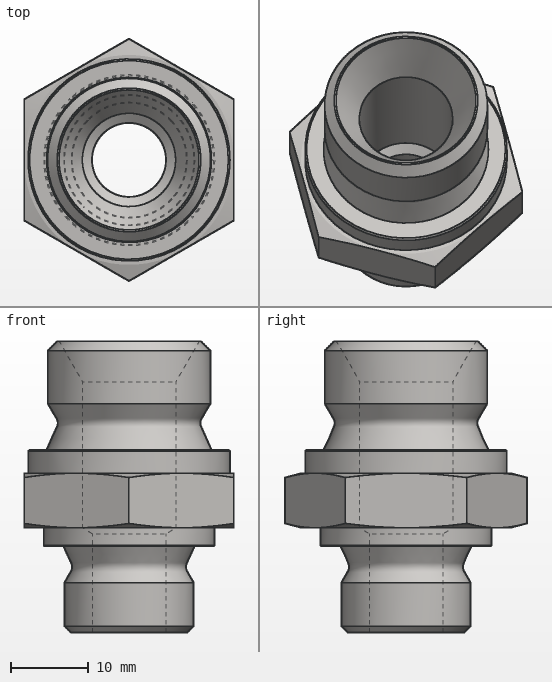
import cadquery as cq
import math

hex_width = 27.0
hex_bottom = 13.5
hex_top = 20.5
hex_chamfer_angle = 15.0

upper_collar_radius = 26.0 / 2
upper_collar_top = 23.55
upper_collar_chamfer = 0.22
lower_collar_radius = 22.0 / 2
lower_collar_bottom = 11.1
lower_collar_chamfer = 0.15

total_height = 37.5
upper_radius = 20.95 / 2
upper_end_chamfer = 1.25
upper_undercut_top = 29.48
upper_arc_top = 27.52
upper_arc_bottom = 26.4
upper_arc_end_radius = 9.35
upper_neck_radius = 9.2
upper_undercut_base_radius = 10.6

lower_radius = 16.65 / 2
lower_end_chamfer = 0.85
lower_undercut_bottom = 6.45
lower_arc_bottom = 7.88
lower_arc_top = 9.08
lower_arc_end_radius = 7.5
lower_neck_radius = 7.35
lower_undercut_base_radius = 8.45

bore_radius = 9.5 / 2
counterbore_radius = 12.0 / 2
counterbore_bottom = hex_bottom
drill_half_angle = 59.0
mouth_radius = 9.0
mouth_half_angle = 30.0


def make_turned_body():
    """Revolve the outside profile of both connections and collars about Z."""
    profile = (
        cq.Workplane("XZ")
        .lineTo(lower_radius - lower_end_chamfer, 0)
        .lineTo(lower_radius, lower_end_chamfer)
        .lineTo(lower_radius, lower_undercut_bottom)
        .lineTo(lower_arc_end_radius, lower_arc_bottom)
        .threePointArc(
            (lower_neck_radius, (lower_arc_bottom + lower_arc_top) / 2),
            (lower_arc_end_radius, lower_arc_top),
        )
        .lineTo(lower_undercut_base_radius, lower_collar_bottom)
        .lineTo(lower_collar_radius - lower_collar_chamfer, lower_collar_bottom)
        .lineTo(lower_collar_radius, lower_collar_bottom + lower_collar_chamfer)
        .lineTo(lower_collar_radius, hex_bottom)
        .lineTo(upper_collar_radius, hex_bottom)
        .lineTo(upper_collar_radius, upper_collar_top - upper_collar_chamfer)
        .lineTo(upper_collar_radius - upper_collar_chamfer, upper_collar_top)
        .lineTo(upper_undercut_base_radius, upper_collar_top)
        .lineTo(upper_arc_end_radius, upper_arc_bottom)
        .threePointArc(
            (upper_neck_radius, (upper_arc_bottom + upper_arc_top) / 2),
            (upper_arc_end_radius, upper_arc_top),
        )
        .lineTo(upper_radius, upper_undercut_top)
        .lineTo(upper_radius, total_height - upper_end_chamfer)
        .lineTo(upper_radius - upper_end_chamfer, total_height)
        .lineTo(0, total_height)
        .close()
    )
    return profile.revolve(360, (0, 0), (0, 1))


def make_hexagon():
    """Hexagon with flats facing +X and -X and conically chamfered corners."""
    corner_radius = hex_width / math.sqrt(3)
    flat_radius = hex_width / 2
    corner_drop = (corner_radius - flat_radius) * math.tan(math.radians(hex_chamfer_angle))
    prism = (
        cq.Workplane("XY", origin=(0, 0, hex_bottom))
        .polygon(6, 2 * corner_radius)
        .extrude(hex_top - hex_bottom)
        .rotate((0, 0, 0), (0, 0, 1), 30)
    )
    chamfer_envelope = (
        cq.Workplane("XZ")
        .moveTo(0, hex_bottom)
        .lineTo(flat_radius, hex_bottom)
        .lineTo(corner_radius, hex_bottom + corner_drop)
        .lineTo(corner_radius, hex_top - corner_drop)
        .lineTo(flat_radius, hex_top)
        .lineTo(0, hex_top)
        .close()
        .revolve(360, (0, 0), (0, 1))
    )
    return prism.intersect(chamfer_envelope)


def make_bore():
    """Through bore, drill-point step, counterbore and conical mouth as one cutter."""
    drill_point = (counterbore_radius - bore_radius) / math.tan(math.radians(drill_half_angle))
    mouth_depth = (mouth_radius - counterbore_radius) / math.tan(math.radians(mouth_half_angle))
    return (
        cq.Workplane("XZ")
        .lineTo(bore_radius, 0)
        .lineTo(bore_radius, counterbore_bottom - drill_point)
        .lineTo(counterbore_radius, counterbore_bottom)
        .lineTo(counterbore_radius, total_height - mouth_depth)
        .lineTo(mouth_radius, total_height)
        .lineTo(0, total_height)
        .close()
        .revolve(360, (0, 0), (0, 1))
    )


result = make_turned_body().union(make_hexagon()).cut(make_bore())